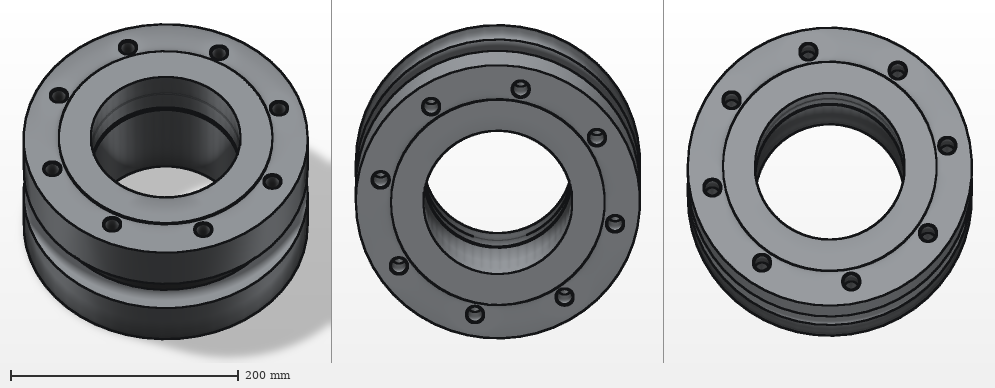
import cadquery as cq
import math

height = 132.0
flange_diameter = 250.0
flange_thickness = 46.0
raised_face_diameter = 188.0
raised_face_height = 2.0
neck_diameter = 210.0

bore_diameter = 131.0
mouth_diameter = 131.7
mouth_depth = 23.8
lead_in_angle = 15.0

groove_top_depth = 44.4
groove_width = 4.0
groove_depth = 2.5
seal_ring_thickness = 3.5
seal_ring_crest_diameter = 131.0

bolt_circle_diameter = 210.0
bolt_count = 8
bolt_hole_diameter = 13.84
bolt_hole_depth = 32.0
bolt_chamfer_diameter = 16.0
drill_point_angle = 118.0

top_z = height / 2
flange_top_z = top_z - raised_face_height
flange_bottom_z = flange_top_z - flange_thickness


def disc(diameter, start_z, end_z):
    """Solid cylinder about the Z axis between two heights."""
    return cq.Workplane("XY").workplane(offset=start_z).circle(diameter / 2).extrude(end_z - start_z)


def make_body():
    """Raised-face spool: two equal flanges joined by a narrower neck."""
    body = disc(raised_face_diameter, -top_z, top_z)
    body = body.union(disc(neck_diameter, -flange_top_z, flange_top_z))
    body = body.union(disc(flange_diameter, flange_bottom_z, flange_top_z))
    return body.union(disc(flange_diameter, -flange_top_z, -flange_bottom_z))


def make_bore():
    """Revolved bore with the wide mouth, the lead-in cone and the seal groove."""
    bore_radius = bore_diameter / 2
    mouth_radius = mouth_diameter / 2
    groove_radius = bore_radius + groove_depth
    mouth_end_z = top_z - mouth_depth
    lead_in_height = (mouth_radius - bore_radius) / math.tan(math.radians(lead_in_angle))
    groove_top_z = top_z - groove_top_depth
    groove_bottom_z = groove_top_z - groove_width
    profile = (
        cq.Workplane("XZ")
        .moveTo(0, -top_z)
        .lineTo(bore_radius, -top_z)
        .lineTo(bore_radius, groove_bottom_z)
        .lineTo(groove_radius, groove_bottom_z)
        .lineTo(groove_radius, groove_top_z)
        .lineTo(bore_radius, groove_top_z)
        .lineTo(bore_radius, mouth_end_z - lead_in_height)
        .lineTo(mouth_radius, mouth_end_z)
        .lineTo(mouth_radius, top_z)
        .lineTo(0, top_z)
        .close()
    )
    return profile.revolve(360, (0, 0, 0), (0, 1, 0))


def make_seal_ring():
    """Torus centred in the groove height, its outer side sunk into the groove floor."""
    section_radius = seal_ring_thickness / 2
    ring_radius = seal_ring_crest_diameter / 2 + section_radius
    ring_z = top_z - groove_top_depth - groove_width / 2
    section = cq.Workplane("XZ").center(ring_radius, ring_z).circle(section_radius)
    return section.revolve(360, (-ring_radius, 0, 0), (-ring_radius, 1, 0))


def make_bolt_hole():
    """Bolt hole drilled down from the upper flange face, on the Z axis."""
    hole_radius = bolt_hole_diameter / 2
    chamfer_radius = bolt_chamfer_diameter / 2
    chamfer_depth = chamfer_radius - hole_radius
    wall_end_z = flange_top_z - bolt_hole_depth
    point_height = hole_radius / math.tan(math.radians(drill_point_angle / 2))
    profile = (
        cq.Workplane("XZ")
        .moveTo(0, flange_top_z)
        .lineTo(chamfer_radius, flange_top_z)
        .lineTo(hole_radius, flange_top_z - chamfer_depth)
        .lineTo(hole_radius, wall_end_z)
        .lineTo(0, wall_end_z - point_height)
        .close()
    )
    return profile.revolve(360, (0, 0, 0), (0, 1, 0))


def cut_bolt_holes(body):
    """Cut the same hole pattern into both flanges, straddling the X and Y axes."""
    pitch_angle = 360 / bolt_count
    upper_hole = make_bolt_hole().translate((bolt_circle_diameter / 2, 0, 0))
    lower_hole = upper_hole.mirror("XY")
    for index in range(bolt_count):
        angle = (index + 0.5) * pitch_angle
        for hole in (upper_hole, lower_hole):
            body = body.cut(hole.rotate((0, 0, 0), (0, 0, 1), angle))
    return body


result = cut_bolt_holes(make_body().cut(make_bore()).union(make_seal_ring()))